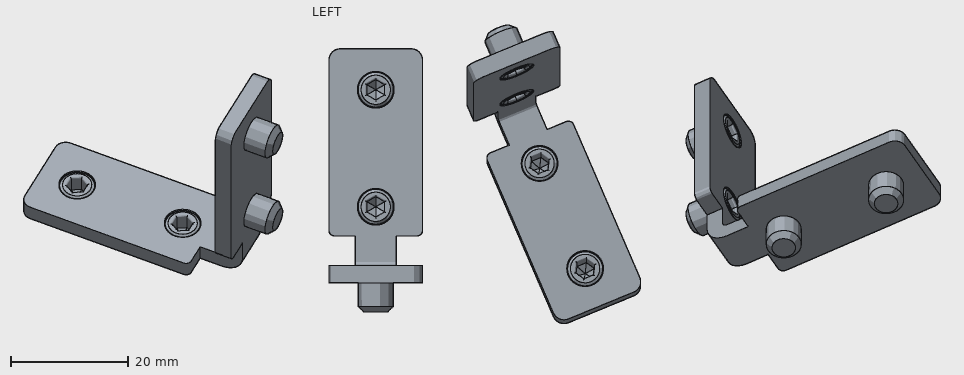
import cadquery as cq
import math

LEG_LENGTH = 40.0
SCREW_PROTRUSION = 5.0

THICKNESS = 3.0
PAD_LENGTH = 32.0
PAD_WIDTH = 16.0
NECK_WIDTH = 7.0
END_CORNER_RADIUS = 2.0
NECK_CORNER_RADIUS = 1.0
INNER_BEND_RADIUS = 1.0
OUTER_BEND_RADIUS = INNER_BEND_RADIUS + THICKNESS
HOLE_CHAMFER = 0.15
HOLE_CHAMFER_ANGLE = 90

SCREW_DIAMETER = 6.0
SCREW_END_OFFSET = 7.0
SCREW_SPACING = 20.0
HEAD_CHAMFER_WIDTH = 0.5
HEAD_CHAMFER_HEIGHT = 0.29
TIP_CHAMFER = 1.0
FLAT_LEG_TURN = 0
UPRIGHT_LEG_TURN = 90
SCREW_LENGTH = THICKNESS + SCREW_PROTRUSION

SOCKET_WIDTH = 3.0
SOCKET_MOUTH_RADIUS = 0.3
SOCKET_DEPTH = 3.0
POINT_DEPTH = 0.95
POINT_TIP_WIDTH = 0.01

OUTER_SCREW_X = -LEG_LENGTH + SCREW_END_OFFSET
SCREW_XS = [OUTER_SCREW_X, OUTER_SCREW_X + SCREW_SPACING]


def turn_upright(body):
    """Half turn about the corner diagonal, carrying the flat leg onto the upright leg."""
    return body.rotate((0, 0, 0), (-1, 0, 1), 180)


def make_pad():
    """Wide rounded plate of the flat leg with its two screw holes."""
    pad_center_x = -LEG_LENGTH + PAD_LENGTH / 2
    pad = (
        cq.Workplane("XY")
        .center(pad_center_x, 0)
        .rect(PAD_LENGTH, PAD_WIDTH)
        .extrude(THICKNESS)
        .edges("|Z and <X").fillet(END_CORNER_RADIUS)
        .edges("|Z and >X").fillet(NECK_CORNER_RADIUS)
    )
    return (
        pad.faces(">Z").workplane(origin=(0, 0, THICKNESS))
        .pushPoints([(x, 0) for x in SCREW_XS])
        .cskHole(SCREW_DIAMETER, SCREW_DIAMETER + 2 * HOLE_CHAMFER, HOLE_CHAMFER_ANGLE)
    )


def make_neck():
    """Narrow bent strip joining the two pads."""
    reach = LEG_LENGTH - PAD_LENGTH
    return (
        cq.Workplane("XZ")
        .moveTo(-reach, 0)
        .lineTo(-OUTER_BEND_RADIUS, 0)
        .radiusArc((0, OUTER_BEND_RADIUS), -OUTER_BEND_RADIUS)
        .lineTo(0, reach)
        .lineTo(-THICKNESS, reach)
        .lineTo(-THICKNESS, OUTER_BEND_RADIUS)
        .radiusArc((-OUTER_BEND_RADIUS, THICKNESS), INNER_BEND_RADIUS)
        .lineTo(-reach, THICKNESS)
        .close()
        .extrude(NECK_WIDTH / 2, both=True)
    )


def make_bracket():
    pad = make_pad()
    return pad.union(make_neck()).union(turn_upright(pad))


def hexagon_points(across_flats):
    """Corners of a regular hexagon with two corners on the Y axis."""
    radius = across_flats / math.sqrt(3)
    angles = [math.pi / 2 + i * math.pi / 3 for i in range(6)]
    return [(radius * math.cos(a), radius * math.sin(a)) for a in angles]


def make_socket():
    """Hexagonal recess ending in a pyramid floor."""
    floor_z = THICKNESS - SOCKET_DEPTH
    walls = (
        cq.Workplane("XY", origin=(0, 0, floor_z))
        .polyline(hexagon_points(SOCKET_WIDTH)).close()
        .extrude(SOCKET_DEPTH)
    )
    point = (
        cq.Workplane("XY", origin=(0, 0, floor_z))
        .polyline(hexagon_points(SOCKET_WIDTH)).close()
        .workplane(offset=-POINT_DEPTH)
        .polyline(hexagon_points(POINT_TIP_WIDTH)).close()
        .loft(ruled=True)
    )
    return walls.union(point)


def make_set_screw(x, turn):
    """Set screw in the flat leg, head flush with the inner face, turned about its own axis."""
    screw = (
        cq.Workplane("XY", origin=(0, 0, -SCREW_PROTRUSION))
        .circle(SCREW_DIAMETER / 2)
        .extrude(SCREW_LENGTH)
        .faces(">Z").chamfer(HEAD_CHAMFER_HEIGHT, HEAD_CHAMFER_WIDTH)
        .faces("<Z").chamfer(TIP_CHAMFER)
    )
    screw = screw.cut(make_socket())
    screw = screw.faces(">Z").edges("%LINE").fillet(SOCKET_MOUTH_RADIUS)
    return screw.rotate((0, 0, 0), (0, 0, 1), turn).translate((x, 0, 0))


bracket = make_bracket()
set_screws = []
for screw_x in SCREW_XS:
    set_screws.append(make_set_screw(screw_x, FLAT_LEG_TURN).val())
    set_screws.append(turn_upright(make_set_screw(screw_x, UPRIGHT_LEG_TURN)).val())

result = cq.Compound.makeCompound([bracket.val(), *set_screws])